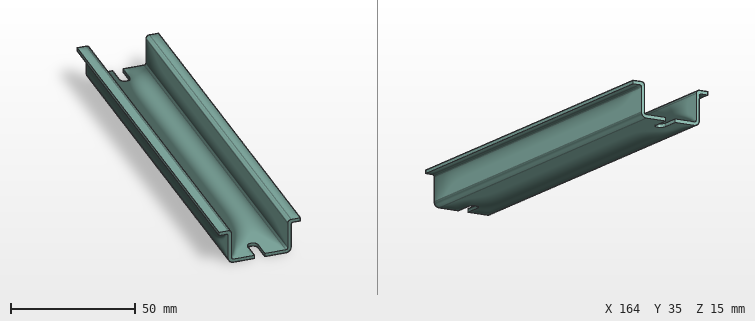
import cadquery as cq

length = 164.0
overall_width = 35.0
height = 15.0
thickness = 1.5
channel_width = 27.0
inner_bend_radius = 0.8
floor_outer_radius = inner_bend_radius + thickness
lip_outer_radius = 1.5

slot_width = 4.5
slot_depth = 10.0

overlap = 1.6


def make_rail():
    """Extrude the folded sheet section, then round its four bends."""
    half_wall = channel_width / 2
    half_inner = half_wall - thickness
    half_width = overall_width / 2
    lip_underside = height - thickness
    right_half = [
        (half_wall, 0),
        (half_wall, lip_underside),
        (half_width, lip_underside),
        (half_width, height),
        (half_inner, height),
        (half_inner, thickness),
    ]
    left_half = [(-y, z) for y, z in reversed(right_half)]
    rail = (
        cq.Workplane("YZ")
        .polyline(right_half + left_half)
        .close()
        .extrude(length / 2, both=True)
    )
    for side in (-1, 1):
        for y, z, radius in (
            (half_wall, 0, floor_outer_radius),
            (half_inner, thickness, inner_bend_radius),
            (half_inner, height, lip_outer_radius),
            (half_wall, lip_underside, inner_bend_radius),
        ):
            corner_edge = cq.selectors.NearestToPointSelector((0, side * y, z))
            rail = rail.edges("|X").edges(corner_edge).fillet(radius)
    return rail


def make_slot_cutter(end):
    """Round-bottomed slot entering from the rail end at +X (1) or -X (-1)."""
    arc_center = length / 2 - slot_depth + slot_width / 2
    mouth = length / 2 + overlap
    cutter_height = thickness + 2 * overlap
    return (
        cq.Workplane("XY", origin=(0, 0, -overlap))
        .moveTo(end * mouth, -slot_width / 2)
        .lineTo(end * arc_center, -slot_width / 2)
        .threePointArc((end * (length / 2 - slot_depth), 0), (end * arc_center, slot_width / 2))
        .lineTo(end * mouth, slot_width / 2)
        .close()
        .extrude(cutter_height)
    )


result = make_rail()
for end in (-1, 1):
    result = result.cut(make_slot_cutter(end))